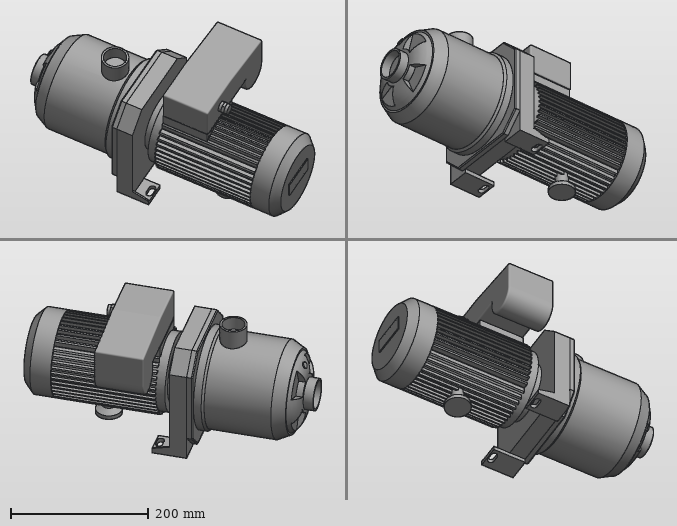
import cadquery as cq
import math


COVER_FACE_X = 14.5
WEDGE_FLOOR_X = 25.0
SHELL_START_X = 30.0
SHELL_CYLINDER_X = 49.5
SHELL_END_X = 150.5
FLANGE_PLATE_X = 165.5
BRACKET_X = 174.5
NECK_X = 200.5
COLLAR_X = 213.7
FINS_X = 227.0
CAP_X = 385.2
CAP_BEVEL_X = 416.2
CAP_END_X = 429.0
OVERALL_LENGTH = 431.0

INLET_DIAMETER = 48.3
INLET_BORE = 42.2
HUB_RADIUS = 29.5
COVER_RADIUS = 61.5
WEDGE_COUNT = 4
WEDGE_ANGLE = 45.0

PLUG_DIAMETER = 10.0
PLUG_HEIGHT = 48.5
PLUG_PROTRUSION = 1.7
PLUG_DEPTH = 4.5

SHELL_NOSE_RADIUS = 64.5
SHELL_DIAMETER = 149.0
OUTLET_DIAMETER = 40.0
OUTLET_BORE = 33.5
OUTLET_X = 126.5
OUTLET_TOP_Z = 101.5
OUTLET_BORE_DEPTH = 20.5

FLANGE_RING_DIAMETER = 156.5
RING_BEVEL = 3.5
PLATE_HALF_WIDTH = 83.0
PLATE_CORNER = 29.0
FLANGE_EDGE_BEVEL = 1.7
GROUND_Z = -90.0
FOOT_INNER_Y = 47.5
FOOT_LENGTH = FINS_X - NECK_X
FOOT_THICKNESS = 7.0
FOOT_RIB_THICKNESS = 2.5
FOOT_RIB_HEIGHT = 15.0
FOOT_RIB_END_HEIGHT = 7.8
SLOT_WIDTH = 10.0
SLOT_X = 220.0
SLOT_OUTER_Y = 73.3
SLOT_INNER_Y = 53.5

NECK_DIAMETER = 91.0
COLLAR_DIAMETER = 120.0
MOTOR_DIAMETER = 130.0
FIN_PITCH = 8.0
FIN_THICKNESS = 2.0
FINS_EACH_WAY = 5
NAMEPLATE_WIDTH = 56.0
NAMEPLATE_HEIGHT = 24.0
NAMEPLATE_Z = 3.5

BOX_END_X = 301.5
BOX_FRONT_Y = -40.0
BOX_BACK_Y = 127.5
BOX_TOP_Z = 116.5
BOX_KINK_Y = 31.0
BOX_BACK_TOP_Z = 106.5
BOX_FLOOR_Z = 67.2
LOBE_INNER_Y = 76.0
LOBE_BOTTOM_Z = 31.5
BOX_EDGE_RADIUS = 2.5
BASE_END_X = 299.5
BASE_HALF_WIDTH = 38.8
BASE_BOTTOM_Z = 50.5

GLAND_DIAMETER = 16.0
GLAND_Z = 91.8
GLAND_SECTION = 4.7
NUT_SIDES = 6

SUPPORT_X = 315.0
SUPPORT_DIAMETER = 39.5
SUPPORT_STEM_DIAMETER = 20.0
SUPPORT_PAD_HEIGHT = 6.5
SUPPORT_CONE_HEIGHT = 6.5
SUPPORT_STEM_TOP_Z = -56.0

DOME_DEPTH = SHELL_START_X - COVER_FACE_X
DOME_RISE = COVER_RADIUS - HUB_RADIUS
DOME_RADIUS = (DOME_DEPTH ** 2 + DOME_RISE ** 2) / (2 * DOME_DEPTH)


def rod(start_x, end_x, diameter):
    """Cylinder about the shaft axis."""
    return cq.Workplane("YZ", origin=(start_x, 0, 0)).circle(diameter / 2).extrude(end_x - start_x)


def block(x_range, y_range, z_range):
    """Box given by its limits on each axis."""
    limits = (x_range, y_range, z_range)
    sizes = [high - low for low, high in limits]
    corner = tuple(low for low, high in limits)
    return cq.Workplane("XY").box(*sizes, centered=False).translate(corner)


def turned(profile):
    """Solid turned about the X axis from a profile of axial and radial positions."""
    return profile.close().revolve(360, (0, 0, 0), (1, 0, 0))


def dome_point(radius):
    """Axial position and slope angle of the dome at a given radius."""
    angle = math.asin((radius - HUB_RADIUS) / DOME_RADIUS)
    return COVER_FACE_X + DOME_RADIUS * (1 - math.cos(angle)), angle


def make_plug():
    dome_x, tilt = dome_point(PLUG_HEIGHT)
    outward = cq.Vector(-math.cos(tilt), 0, math.sin(tilt))
    seat = cq.Vector(dome_x, 0, PLUG_HEIGHT) - outward * PLUG_DEPTH
    plane = cq.Plane(origin=seat, xDir=(0, 1, 0), normal=outward)
    return cq.Workplane(plane).circle(PLUG_DIAMETER / 2).extrude(PLUG_DEPTH + PLUG_PROTRUSION)


def make_wedge_recess(direction):
    """Sector outside the hub, in front of the recess floor, around one direction in the YZ plane."""
    reach = 2 * COVER_RADIUS
    half = WEDGE_ANGLE / 2
    angles = [math.radians(direction + side) for side in (-half, half)]
    corners = [(reach * math.cos(angle), reach * math.sin(angle)) for angle in angles]
    sector = cq.Workplane("YZ").polyline([(0, 0), *corners]).close().extrude(WEDGE_FLOOR_X)
    return sector.cut(rod(0, WEDGE_FLOOR_X, 2 * HUB_RADIUS))


def make_cover(plug):
    middle_radius = (HUB_RADIUS + COVER_RADIUS) / 2
    middle_x, _ = dome_point(middle_radius)
    cover = turned(
        cq.Workplane("XY")
        .moveTo(COVER_FACE_X, 0)
        .lineTo(COVER_FACE_X, HUB_RADIUS)
        .threePointArc((middle_x, middle_radius), (SHELL_START_X, COVER_RADIUS))
        .lineTo(SHELL_START_X, 0)
    )
    for index in range(WEDGE_COUNT):
        cover = cover.cut(make_wedge_recess((index + 0.5) * 360 / WEDGE_COUNT))
    inlet = rod(0, COVER_FACE_X, INLET_DIAMETER).cut(rod(0, COVER_FACE_X, INLET_BORE))
    return cover.union(inlet).cut(plug)


def make_shell():
    shell_radius = SHELL_DIAMETER / 2
    shell = turned(
        cq.Workplane("XY")
        .moveTo(SHELL_START_X, 0)
        .lineTo(SHELL_START_X, SHELL_NOSE_RADIUS)
        .lineTo(SHELL_CYLINDER_X, shell_radius)
        .lineTo(SHELL_END_X, shell_radius)
        .lineTo(SHELL_END_X, 0)
    )
    outlet = cq.Workplane("XY", origin=(OUTLET_X, 0, 0)).circle(OUTLET_DIAMETER / 2).extrude(OUTLET_TOP_Z)
    bore_floor = (OUTLET_X, 0, OUTLET_TOP_Z - OUTLET_BORE_DEPTH)
    bore = cq.Workplane("XY", origin=bore_floor).circle(OUTLET_BORE / 2).extrude(OUTLET_BORE_DEPTH)
    return shell.union(outlet).cut(bore)


def make_plate(start_x, end_x, corner_edges):
    """Square plate with the chosen corners cut off at 45 degrees."""
    width = 2 * PLATE_HALF_WIDTH
    plate = cq.Workplane("YZ", origin=(start_x, 0, 0)).rect(width, width).extrude(end_x - start_x)
    return plate.edges(corner_edges).chamfer(PLATE_CORNER)


def make_flange():
    plate = make_plate(FLANGE_PLATE_X, BRACKET_X, "|X").faces("<X").chamfer(FLANGE_EDGE_BEVEL)
    ring = rod(SHELL_END_X, FLANGE_PLATE_X, FLANGE_RING_DIAMETER).faces("<X").chamfer(RING_BEVEL)
    return plate.union(ring)


def make_foot():
    """Foot on the +Y side, with its slot and outer rib."""
    inside = (FOOT_INNER_Y, PLATE_HALF_WIDTH)
    leg = block((BRACKET_X, NECK_X), inside, (GROUND_Z, 0))
    sole = block((NECK_X, FINS_X), inside, (GROUND_Z, GROUND_Z + FOOT_THICKNESS))
    slot_length = SLOT_OUTER_Y - SLOT_INNER_Y
    slot = (
        cq.Workplane("XY", origin=(SLOT_X, (SLOT_OUTER_Y + SLOT_INNER_Y) / 2, GROUND_Z))
        .slot2D(slot_length, SLOT_WIDTH, 90)
        .extrude(FOOT_THICKNESS)
    )
    rib = (
        cq.Workplane("XZ", origin=(NECK_X, PLATE_HALF_WIDTH, GROUND_Z))
        .polyline([(0, 0), (FOOT_LENGTH, 0), (FOOT_LENGTH, FOOT_RIB_END_HEIGHT), (0, FOOT_RIB_HEIGHT)])
        .close()
        .extrude(FOOT_RIB_THICKNESS)
    )
    return leg.union(sole).cut(slot).union(rib)


def make_bracket():
    foot = make_foot()
    plate = make_plate(BRACKET_X, NECK_X, "|X and >Z")
    return plate.union(foot).union(foot.mirror("XZ"))


def make_fins():
    """Parallel fins, upright at the top and bottom and level at the sides, trimmed to the motor diameter."""
    length = CAP_X - FINS_X
    fins = cq.Workplane("YZ", origin=(FINS_X, 0, 0))
    for index in range(-FINS_EACH_WAY, FINS_EACH_WAY + 1):
        offset = index * FIN_PITCH
        fins = fins.moveTo(offset, 0).rect(FIN_THICKNESS, MOTOR_DIAMETER)
        fins = fins.moveTo(0, offset).rect(MOTOR_DIAMETER, FIN_THICKNESS)
    return fins.extrude(length).intersect(rod(FINS_X, CAP_X, MOTOR_DIAMETER))


def make_motor(terminal_box, support):
    motor = (
        rod(NECK_X, COLLAR_X, NECK_DIAMETER)
        .union(rod(COLLAR_X, CAP_X, COLLAR_DIAMETER))
        .union(make_fins())
    )
    return motor.cut(terminal_box).cut(support)


def make_cap():
    cap = rod(CAP_X, CAP_END_X, MOTOR_DIAMETER).faces(">X").chamfer(CAP_END_X - CAP_BEVEL_X)
    nameplate = (
        cq.Workplane("YZ", origin=(CAP_END_X, 0, NAMEPLATE_Z))
        .rect(NAMEPLATE_WIDTH, NAMEPLATE_HEIGHT)
        .extrude(OVERALL_LENGTH - CAP_END_X)
    )
    return cap.union(nameplate)


def make_terminal_box():
    lobe_radius = (BOX_BACK_Y - LOBE_INNER_Y) / 2
    lobe_centre_y = BOX_BACK_Y - lobe_radius
    lobe_centre_z = LOBE_BOTTOM_Z + lobe_radius
    housing = (
        cq.Workplane("YZ", origin=(FINS_X, 0, 0))
        .moveTo(BOX_FRONT_Y, BOX_FLOOR_Z)
        .lineTo(BOX_FRONT_Y, BOX_TOP_Z)
        .lineTo(BOX_KINK_Y, BOX_TOP_Z)
        .lineTo(BOX_BACK_Y, BOX_BACK_TOP_Z)
        .lineTo(BOX_BACK_Y, lobe_centre_z)
        .threePointArc((lobe_centre_y, LOBE_BOTTOM_Z), (LOBE_INNER_Y, lobe_centre_z))
        .lineTo(LOBE_INNER_Y, BOX_FLOOR_Z)
        .close()
        .extrude(BOX_END_X - FINS_X)
        .faces("|X or <Y or >Y")
        .edges()
        .fillet(BOX_EDGE_RADIUS)
    )
    base = block((FINS_X, BASE_END_X), (-BASE_HALF_WIDTH, BASE_HALF_WIDTH), (BASE_BOTTOM_Z, BOX_FLOOR_Z))
    return housing.union(base)


def make_gland():
    nut_start_x = BOX_END_X + GLAND_SECTION
    nut_end_x = nut_start_x + GLAND_SECTION
    nut_width_across_corners = GLAND_DIAMETER / math.cos(math.pi / NUT_SIDES)
    nut = (
        cq.Workplane("YZ", origin=(nut_start_x, 0, 0))
        .polygon(NUT_SIDES, nut_width_across_corners)
        .extrude(GLAND_SECTION)
    )
    collar = rod(BOX_END_X, nut_start_x, GLAND_DIAMETER)
    cap = rod(nut_end_x, nut_end_x + GLAND_SECTION, GLAND_DIAMETER)
    return nut.union(collar).union(cap).translate((0, 0, GLAND_Z))


def make_support():
    pad_radius = SUPPORT_DIAMETER / 2
    stem_radius = SUPPORT_STEM_DIAMETER / 2
    pad_top_z = GROUND_Z + SUPPORT_PAD_HEIGHT
    cone_top_z = pad_top_z + SUPPORT_CONE_HEIGHT
    return (
        cq.Workplane("XZ", origin=(SUPPORT_X, 0, 0))
        .polyline([
            (0, GROUND_Z),
            (pad_radius, GROUND_Z),
            (pad_radius, pad_top_z),
            (stem_radius, cone_top_z),
            (stem_radius, SUPPORT_STEM_TOP_Z),
            (0, SUPPORT_STEM_TOP_Z),
        ])
        .close()
        .revolve(360, (0, 0, 0), (0, 1, 0))
    )


plug = make_plug()
cover = make_cover(plug)
shell = make_shell()
flange = make_flange()
bracket = make_bracket()
terminal_box = make_terminal_box()
gland = make_gland()
support = make_support()
motor = make_motor(terminal_box, support)
cap = make_cap()

bodies = [cover, plug, shell, flange, bracket, motor, cap, terminal_box, gland, support]
result = cq.Compound.makeCompound([body.val() for body in bodies])